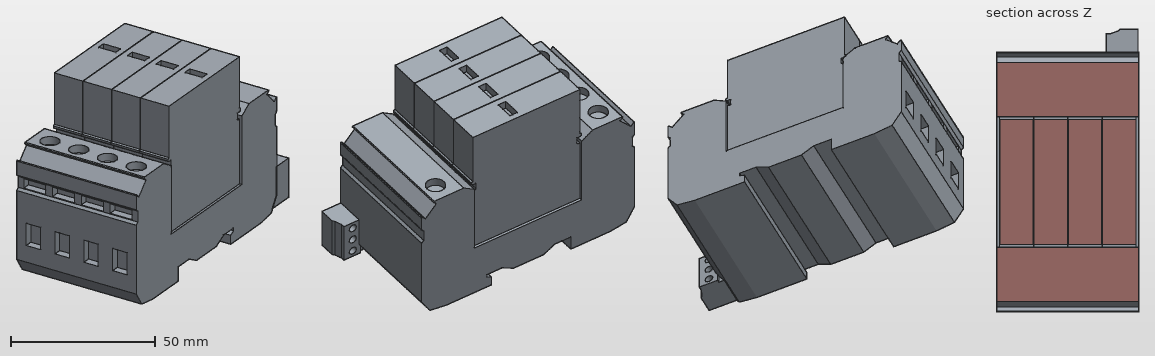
import cadquery as cq


POLE_COUNT = 4
POLE_PITCH = 11.85
POLE_CENTRES = [(i - (POLE_COUNT - 1) / 2) * POLE_PITCH for i in range(POLE_COUNT)]

TOTAL_LENGTH = 97.8
TOTAL_HEIGHT = 69.5

BASE_WIDTH = 49.2
BASE_HALF_LENGTH = 44.9
SHOULDER_HEIGHT = 49.6
BAY_HALF_LENGTH = 22.55
BAY_FLOOR = 20.2
BAY_RIM = 46.75

RAIL_FRONT_Y = -18.0
RAIL_BACK_Y = 15.4
RAIL_HOOK_Y = 17.35
RAIL_ROOF = 5.55
RAIL_PAD_BOTTOM = 3.05

MODULE_OFFSET = 0.06
MODULE_GAP = 0.2
MODULE_WIDTH = POLE_PITCH - MODULE_GAP
LEDGE_HALF_LENGTH = 23.2
LEDGE_TOP = 49.55
LEDGE_BOTTOM = 48.1
LEDGE_TOP_SLOPE = 0.35
LEDGE_BOTTOM_SLOPE = 0.25
NECK_HALF_LENGTH = 21.25
NECK_BOTTOM = 45.3
NECK_CHAMFER = 0.4

WINDOW_WIDTH = 7.1
WINDOW_LENGTH = 3.15
WINDOW_DEPTH = 3.0
WINDOW_Y = 3.77

SCREW_DIAMETER = 7.0
SCREW_DEPTH = 3.0
SCREW_Y = 34.3

GROOVE_FLOOR_Y = 44.0
LABEL_WIDTH = 9.0
LABEL_BOTTOM = 34.3
LABEL_HEIGHT = 3.65
LABEL_DEPTH = 3.0
WIRE_WIDTH = 5.85
WIRE_BOTTOM = 12.85
WIRE_HEIGHT = 8.6
WIRE_DEPTH = 3.0

PLUG_LEFT = 13.25
PLUG_RIGHT = 24.35
PLUG_BOTTOM = 2.2
PLUG_HEIGHT = 15.25
PLUG_END_Y = TOTAL_LENGTH - BASE_HALF_LENGTH
PLUG_LOW_END_Y = 51.3
PLUG_RAMP_START_X = 14.6
PLUG_RAMP_KNEE = (17.4, 52.25)
PLUG_RAMP_END_X = 18.05
PLUG_SHOULDER_Y = 44.25
PLUG_ROOT_Y = 40.0
PLUG_ROOT_INSET = 1.0
PLUG_HOLE_DIAMETER = 2.9
PLUG_HOLE_DEPTH = 3.0
PLUG_HOLE_Y = 47.55
PLUG_HOLE_PITCH = 5.08
PLUG_HOLE_COUNT = 3


def box_between(x_range, y_range, z_range):
    """Box spanning the given (low, high) ranges along X, Y and Z."""
    lows, highs = zip(x_range, y_range, z_range)
    sizes = [high - low for low, high in zip(lows, highs)]
    return cq.Workplane("XY").box(*sizes, centered=False).translate(lows)


def centred(middle, width):
    """(low, high) range of a given width about its middle."""
    return (middle - width / 2, middle + width / 2)


def mirror_y(points):
    """The same outline on the opposite side, walked in reverse."""
    return [(-y, z) for y, z in reversed(points)]


def make_base():
    """Extrude the side outline, given as (Y, Z) points, across the width."""
    back_flank = [
        (34.55, 0),
        (41.4, 1.0),
        (BASE_HALF_LENGTH, 6.4),
        (BASE_HALF_LENGTH, 33.1),
        (GROOVE_FLOOR_Y, 34.0),
        (GROOVE_FLOOR_Y, 38.2),
        (BASE_HALF_LENGTH, 39.1),
        (BASE_HALF_LENGTH, 44.5),
        (44.6, 44.8),
        (43.3, 43.45),
        (38.75, 48.05),
        (39.95, 49.3),
        (39.6, SHOULDER_HEIGHT),
        (27.15, SHOULDER_HEIGHT),
        (BAY_HALF_LENGTH, BAY_RIM),
        (BAY_HALF_LENGTH, BAY_FLOOR),
    ]
    rail_recess = [
        (RAIL_FRONT_Y, 0),
        (RAIL_FRONT_Y, RAIL_ROOF),
        (-11.2, RAIL_ROOF),
        (-6.5, RAIL_PAD_BOTTOM),
        (6.2, RAIL_PAD_BOTTOM),
        (11.0, RAIL_ROOF),
        (RAIL_HOOK_Y, RAIL_ROOF),
        (RAIL_HOOK_Y, 4.45),
        (RAIL_BACK_Y, 3.5),
        (RAIL_BACK_Y, 0),
    ]
    outline = rail_recess + back_flank + mirror_y(back_flank)
    return cq.Workplane("YZ").polyline(outline).close().extrude(BASE_WIDTH / 2, both=True)


def make_module(x_centre):
    """One plug-in module with its finger ledges, necks and top window."""
    back_flank = [
        (BAY_HALF_LENGTH, BAY_FLOOR),
        (BAY_HALF_LENGTH, NECK_BOTTOM),
        (NECK_HALF_LENGTH + NECK_CHAMFER, NECK_BOTTOM),
        (NECK_HALF_LENGTH, NECK_BOTTOM + NECK_CHAMFER),
        (NECK_HALF_LENGTH, LEDGE_BOTTOM),
        (BAY_HALF_LENGTH, LEDGE_BOTTOM),
        (LEDGE_HALF_LENGTH, LEDGE_BOTTOM + LEDGE_BOTTOM_SLOPE),
        (LEDGE_HALF_LENGTH, LEDGE_TOP - LEDGE_TOP_SLOPE),
        (BAY_HALF_LENGTH, LEDGE_TOP),
        (BAY_HALF_LENGTH, TOTAL_HEIGHT),
    ]
    outline = back_flank + mirror_y(back_flank)
    module = cq.Workplane("YZ").polyline(outline).close().extrude(MODULE_WIDTH / 2, both=True)
    window = box_between(
        centred(0, WINDOW_WIDTH),
        centred(WINDOW_Y, WINDOW_LENGTH),
        (TOTAL_HEIGHT - WINDOW_DEPTH, TOTAL_HEIGHT),
    )
    return module.cut(window).translate((x_centre, 0, 0))


def make_screw_hole(x_centre, y_centre):
    """Blind round hole sunk into a shoulder."""
    return (
        cq.Workplane("XY", origin=(x_centre, y_centre, SHOULDER_HEIGHT))
        .circle(SCREW_DIAMETER / 2)
        .extrude(-SCREW_DEPTH)
    )


def make_label_pocket(x_centre):
    """Pocket in the floor of the front groove."""
    return box_between(
        centred(x_centre, LABEL_WIDTH),
        (-BASE_HALF_LENGTH, LABEL_DEPTH - GROOVE_FLOOR_Y),
        (LABEL_BOTTOM, LABEL_BOTTOM + LABEL_HEIGHT),
    )


def make_wire_pocket(x_centre):
    """Wire entry in the front face."""
    return box_between(
        centred(x_centre, WIRE_WIDTH),
        (-BASE_HALF_LENGTH, WIRE_DEPTH - BASE_HALF_LENGTH),
        (WIRE_BOTTOM, WIRE_BOTTOM + WIRE_HEIGHT),
    )


def make_plug():
    """Terminal plug: block with a ramped end, narrower root and side holes."""
    plug_top = PLUG_BOTTOM + PLUG_HEIGHT
    block = (
        cq.Workplane("XY", origin=(0, 0, PLUG_BOTTOM))
        .moveTo(PLUG_LEFT, PLUG_SHOULDER_Y)
        .lineTo(PLUG_RIGHT, PLUG_SHOULDER_Y)
        .lineTo(PLUG_RIGHT, PLUG_END_Y)
        .lineTo(PLUG_RAMP_END_X, PLUG_END_Y)
        .lineTo(*PLUG_RAMP_KNEE)
        .lineTo(PLUG_RAMP_START_X, PLUG_LOW_END_Y)
        .lineTo(PLUG_LEFT, PLUG_LOW_END_Y)
        .close()
        .extrude(PLUG_HEIGHT)
    )
    root = box_between(
        (PLUG_LEFT + PLUG_ROOT_INSET, PLUG_RIGHT),
        (PLUG_ROOT_Y, PLUG_SHOULDER_Y),
        (PLUG_BOTTOM, plug_top),
    )
    holes = (
        cq.Workplane("YZ", origin=(PLUG_LEFT, PLUG_HOLE_Y, PLUG_BOTTOM + PLUG_HEIGHT / 2))
        .rarray(1, PLUG_HOLE_PITCH, 1, PLUG_HOLE_COUNT)
        .circle(PLUG_HOLE_DIAMETER / 2)
        .extrude(PLUG_HOLE_DEPTH)
    )
    return block.union(root).cut(holes)


result = make_base()

for pole_x in POLE_CENTRES:
    result = result.union(make_module(pole_x + MODULE_OFFSET))
    result = result.cut(make_screw_hole(pole_x, -SCREW_Y))
    result = result.cut(make_label_pocket(pole_x))
    result = result.cut(make_wire_pocket(pole_x))

result = result.cut(make_screw_hole(POLE_CENTRES[0], SCREW_Y))

result = result.union(make_plug())